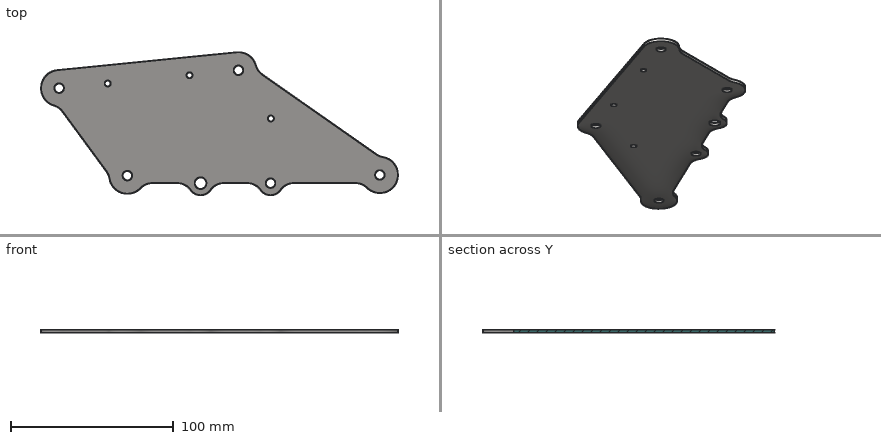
import cadquery as cq
import math

thickness = 2.0
bottom_edge_y = -36.4
blend_radius = 10.0

large_lobe_radius = 11.2
small_lobe_radius = 7.5
left_center = (-98.5, 22.0)
top_center = (11.6, 32.9)
right_center = (98.5, -31.3)
lower_left_center = (-56.5, -31.8)
lower_middle_center = (-11.6, bottom_edge_y)
lower_right_center = (31.3, bottom_edge_y)
large_lobe_centers = [left_center, top_center, right_center, lower_left_center]
small_lobe_centers = [lower_middle_center, lower_right_center]

left_edge_top = (-98.5, 10.3)
left_edge_bottom = (-67.5, -31.8)
right_edge_top = (11.6, 40.5)
right_edge_bottom = (98.5, -20.2)

mount_hole_diameter = 5.7
middle_hole_diameter = 7.0
small_hole_diameter = 3.5
mount_hole_centers = large_lobe_centers + [lower_right_center]
small_hole_centers = [(-68.5, 24.8), (-18.5, 29.8), (31.5, 3.3)]


def prism(points):
    return cq.Workplane("XY").polyline(points).close().extrude(thickness)


def cylinders(centers, radius):
    return cq.Workplane("XY").pushPoints(centers).circle(radius).extrude(thickness)


def top_tangent_points():
    """Points where the top edge touches the left lobe and the top lobe."""
    slope = math.atan2(top_center[1] - left_center[1], top_center[0] - left_center[0])
    shift_x = -large_lobe_radius * math.sin(slope)
    shift_y = large_lobe_radius * math.cos(slope)
    return [(x + shift_x, y + shift_y) for x, y in (left_center, top_center)]


def sharp_plate():
    """Straight-sided plate joined to its lobes, with sharp inside corners."""
    left_tangent, top_tangent = top_tangent_points()
    core = prism([
        left_tangent,
        top_tangent,
        right_edge_top,
        right_edge_bottom,
        (right_center[0], bottom_edge_y),
        (lower_left_center[0], bottom_edge_y),
        left_edge_bottom,
        left_edge_top,
    ])
    large_lobes = cylinders(large_lobe_centers, large_lobe_radius)
    small_lobes = cylinders(small_lobe_centers, small_lobe_radius)
    return core.union(large_lobes).union(small_lobes)


def blended_plate():
    """Offsetting the outline out and back in rounds only its inside corners."""
    outline = sharp_plate().faces("<Z").wires().toPending()
    grown = outline.offset2D(blend_radius).toPending()
    return grown.offset2D(-blend_radius).toPending().extrude(thickness)


result = blended_plate()
result = result.cut(cylinders(mount_hole_centers, mount_hole_diameter / 2))
result = result.cut(cylinders([lower_middle_center], middle_hole_diameter / 2))
result = result.cut(cylinders(small_hole_centers, small_hole_diameter / 2))